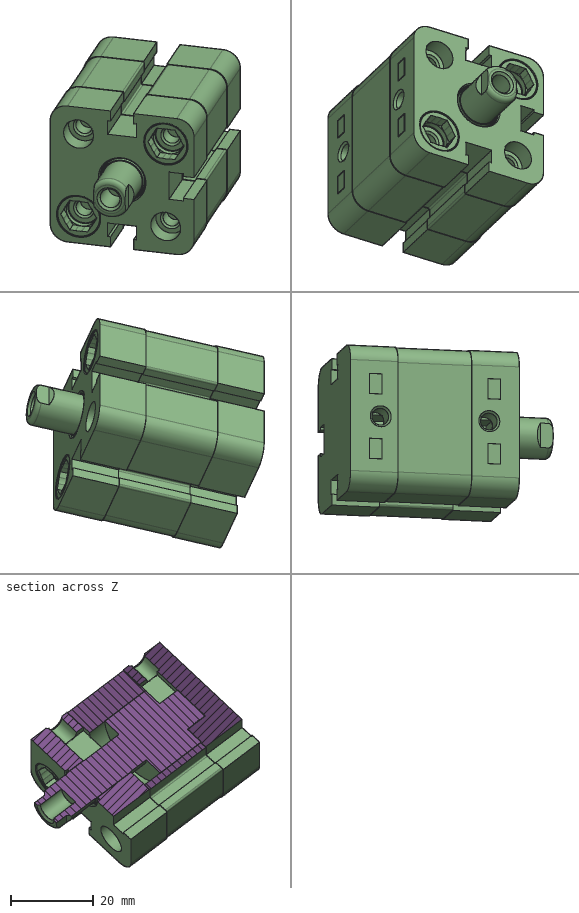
import cadquery as cq
import math


overall_length = 53.6
cap_length = 11.85
barrel_length = 18.35
rod_reach = overall_length - 2 * cap_length - barrel_length
barrel_start = cap_length
barrel_end = barrel_start + barrel_length
rear_end = barrel_end + cap_length

cap_side = 36.3
barrel_inset = 0.15
barrel_side = cap_side - 2 * barrel_inset
corner_radius = 4.4

slot_floor = 11.85
slot_lip_height = 15.45
cap_slot_mouth = 5.85
cap_slot_width = 7.25
slot_step = 0.15
barrel_slot_mouth = cap_slot_mouth - 2 * slot_step
barrel_slot_width = cap_slot_width - 2 * slot_step
barrel_slot_floor = slot_floor + slot_step
barrel_lip_radius = 0.5
barrel_floor_radius = 0.45
slot_angles = (-90, 0, 90)

corner_offset = 11.0
thread_diameter = 4.15
thread_mouth_diameter = 5.15
thread_depth = 4.3
clearance_diameter = 7.5
clearance_depth = 4.55
head_diameter = 11.1
head_top_diameter = 10.5
head_recess = 0.15
head_chamfer = 0.25
hex_across_flats = 7.8
hex_depth = 3.15
hex_bore_diameter = 8.0
socket_bore_diameter = 7.9
socket_floor_diameter = 7.55
socket_depth = 4.8

port_inset = 7.5
port_diameter = 4.15
port_mouth_diameter = 5.2
port_depth = 5.9
passage_height = 2.95
front_passage_inset = 5.35
rear_passage_inset = 6.1

label_inset = 6.25
label_offset = 8.05
label_length = 3.05
label_height = 5.0
label_depth = 0.15

rod_diameter = 10.0
rod_end_radius = 1.25
rod_flat_width = 8.0
rod_flat_length = 3.2
rod_thread_diameter = 4.95
rod_thread_mouth_diameter = 6.15
rod_thread_depth = 7.5
piston_diameter = 20.0
stroke = 5.0
wiper_recess_diameter = 12.0
wiper_groove_diameter = 11.4
wiper_tip_diameter = 10.5
wiper_base_diameter = 10.9
wiper_groove_depth = 0.85
wiper_recess_depth = 0.2


def cylinder(diameter, start, end, x=0, z=0):
    """Cylinder along Y between two Y positions."""
    return cq.Workplane("XY").add(
        cq.Solid.makeCylinder(diameter / 2, end - start, cq.Vector(x, start, z), cq.Vector(0, 1, 0))
    )


def cone(start_diameter, end_diameter, start, end, x=0, z=0):
    """Truncated cone along Y between two Y positions."""
    return cq.Workplane("XY").add(
        cq.Solid.makeCone(
            start_diameter / 2, end_diameter / 2, end - start, cq.Vector(x, start, z), cq.Vector(0, 1, 0)
        )
    )


def tapped_hole(diameter, mouth_diameter, start, depth, x=0, z=0):
    """Blind hole along +Y with a 45 degree countersink at its mouth."""
    countersink = (mouth_diameter - diameter) / 2
    return cylinder(diameter, start, start + depth, x, z).union(
        cone(mouth_diameter, diameter, start, start + countersink, x, z)
    )


def block(side, start, length):
    """Square block along Y with rounded long edges."""
    return (
        cq.Workplane("XZ", origin=(0, start, 0))
        .rect(side, side)
        .extrude(-length)
        .edges("|Y")
        .fillet(corner_radius)
    )


def t_slot(mouth, width, floor, outer, start, length, lip_radius=0, floor_radius=0):
    """T-slot cutter open towards +X; nonzero radii round the lip and floor edges."""
    height = slot_lip_height - floor
    wide = cq.Workplane("XY").box(height, length, width, centered=(False, False, True))
    wide = wide.translate((floor, start, 0))
    if floor_radius:
        wide = wide.edges("|Y and <X").fillet(floor_radius)
    neck = cq.Workplane("XY").box(outer - floor, length, mouth, centered=(False, False, True))
    slot = wide.union(neck.translate((floor, start, 0)))
    if lip_radius:
        half = mouth / 2
        flare = (
            cq.Workplane("XZ", origin=(0, start, 0))
            .moveTo(outer, -half - lip_radius)
            .radiusArc((outer - lip_radius, -half), -lip_radius)
            .lineTo(outer - lip_radius, half)
            .radiusArc((outer, half + lip_radius), -lip_radius)
            .close()
            .extrude(-length)
        )
        slot = slot.union(flare)
    return slot


def cut_slots(body, slot):
    """Cut the T-slot into the +X, +Z and -Z sides."""
    for angle in slot_angles:
        body = body.cut(slot.rotate((0, 0, 0), (0, 1, 0), angle))
    return body


def cap(start):
    """Square end block with the three T-slots."""
    slot = t_slot(cap_slot_mouth, cap_slot_width, slot_floor, cap_side / 2, start, cap_length)
    return cut_slots(block(cap_side, start, cap_length), slot)


def port(y, passage_start, passage_end):
    """Countersunk port from the -X side, with a flat passage on to the rod axis."""
    side = -cap_side / 2
    countersink = (port_mouth_diameter - port_diameter) / 2
    inward = cq.Vector(1, 0, 0)
    mouth = cq.Vector(side, y, 0)
    hole = cq.Workplane("XY").add(cq.Solid.makeCylinder(port_diameter / 2, port_depth, mouth, inward))
    sink = cq.Solid.makeCone(port_mouth_diameter / 2, port_diameter / 2, countersink, mouth, inward)
    passage = (
        cq.Workplane("XY")
        .box(-side - port_depth, passage_end - passage_start, passage_height, centered=(False, False, True))
        .translate((side + port_depth, passage_start, 0))
    )
    return hole.union(cq.Workplane("XY").add(sink)).union(passage)


def label_pockets(y):
    """Shallow rectangular pockets above and below a port."""
    return (
        cq.Workplane("YZ", origin=(-cap_side / 2, y, 0))
        .pushPoints([(0, -label_offset), (0, label_offset)])
        .rect(label_length, label_height)
        .extrude(label_depth)
    )


def clearance_hole(x, z):
    """Plain hole that ends on a tapped hole."""
    return cylinder(clearance_diameter, 0, clearance_depth, x, z).union(
        tapped_hole(thread_diameter, thread_mouth_diameter, clearance_depth, thread_depth, x, z)
    )


def screw_head(x, z):
    """Recess above a chamfered screw head, with its hexagon socket, the bore below and the tapped hole."""
    chamfer_end = head_recess + head_chamfer
    recess = cylinder(head_diameter, 0, chamfer_end, x, z).cut(
        cone(head_top_diameter, head_diameter, head_recess, chamfer_end, x, z)
    )
    hexagon = (
        cq.Workplane("XZ")
        .center(x, z)
        .polygon(6, hex_across_flats / math.cos(math.pi / 6))
        .extrude(-hex_depth)
    )
    bevel_start = socket_depth - (socket_bore_diameter - socket_floor_diameter) / 2
    return (
        recess.union(hexagon)
        .union(cylinder(hex_bore_diameter, 0, hex_depth, x, z))
        .union(cylinder(socket_bore_diameter, 0, bevel_start, x, z))
        .union(cone(socket_bore_diameter, socket_floor_diameter, bevel_start, socket_depth, x, z))
        .union(tapped_hole(thread_diameter, thread_mouth_diameter, socket_depth, thread_depth, x, z))
    )


def wiper_groove():
    """Countersunk recess around the tapered wiper lip."""
    countersink = (wiper_recess_diameter - wiper_groove_diameter) / 2
    lip = cone(wiper_tip_diameter, wiper_base_diameter, wiper_recess_depth, wiper_groove_depth)
    return (
        cylinder(wiper_groove_diameter, 0, wiper_groove_depth)
        .union(cone(wiper_recess_diameter, wiper_groove_diameter, 0, countersink))
        .cut(lip)
    )


def make_front_cap():
    """Front cap with the rod bore, two plain holes, two screw heads and its port."""
    body = cap(0).cut(cylinder(rod_diameter, 0, cap_length)).cut(wiper_groove())
    for side in (-1, 1):
        body = body.cut(clearance_hole(side * corner_offset, -side * corner_offset))
        body = body.cut(screw_head(side * corner_offset, side * corner_offset))
    body = body.cut(label_pockets(label_inset))
    return body.cut(port(port_inset, front_passage_inset, cap_length))


def make_barrel():
    """Inset tube between the caps, with the piston bore and the three T-slots."""
    slot = t_slot(
        barrel_slot_mouth, barrel_slot_width, barrel_slot_floor, barrel_side / 2,
        barrel_start, barrel_length, barrel_lip_radius, barrel_floor_radius,
    )
    body = cut_slots(block(barrel_side, barrel_start, barrel_length), slot)
    return body.cut(cylinder(piston_diameter, barrel_start, barrel_end))


def make_rear_cap():
    """Rear cap with a blind bore for the rod tail and its port."""
    tail_end = rear_end - rear_passage_inset
    body = cap(barrel_end).cut(cylinder(rod_diameter, barrel_end, tail_end))
    body = body.cut(label_pockets(rear_end - label_inset))
    return body.cut(port(rear_end - port_inset, barrel_end, tail_end))


def rod_flat():
    """Wrench flat on the +X side, running out at 45 degrees."""
    depth = (rod_diameter - rod_flat_width) / 2
    return (
        cq.Workplane("XY", origin=(0, 0, -rod_diameter / 2))
        .moveTo(rod_flat_width / 2, -rod_reach)
        .lineTo(rod_flat_width / 2, -rod_reach + rod_flat_length)
        .lineTo(rod_diameter / 2, -rod_reach + rod_flat_length + depth)
        .lineTo(rod_diameter / 2, -rod_reach)
        .close()
        .extrude(rod_diameter)
    )


def make_rod():
    """Rod with its piston, retracted against the rear cap, and a tail inside that cap."""
    body = cylinder(rod_diameter, -rod_reach, rear_end - rear_passage_inset)
    body = body.faces("<Y").edges().fillet(rod_end_radius)
    body = body.union(cylinder(piston_diameter, barrel_start + stroke, barrel_end))
    flat = rod_flat()
    body = body.cut(flat).cut(flat.mirror("YZ"))
    return body.cut(tapped_hole(rod_thread_diameter, rod_thread_mouth_diameter, -rod_reach, rod_thread_depth))


front_cap = make_front_cap()
barrel = make_barrel()
rear_cap = make_rear_cap()
rod = make_rod()

bodies = (front_cap, barrel, rear_cap, rod)
result = cq.Compound.makeCompound([body.solids().val() for body in bodies])